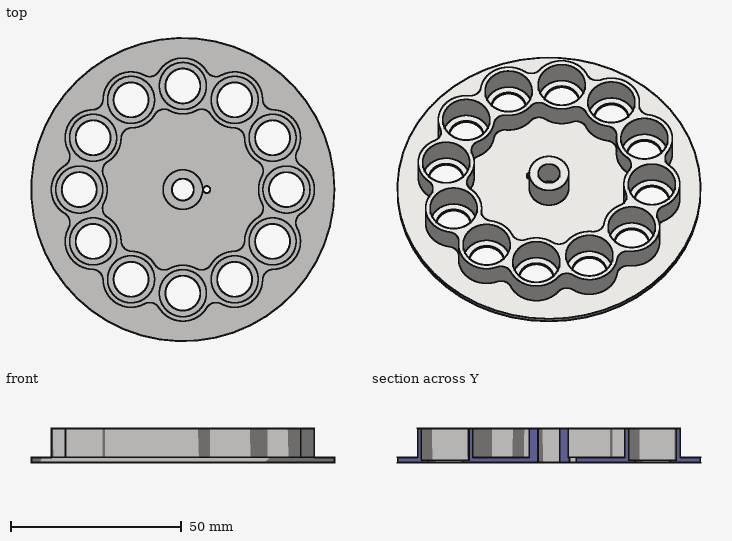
import cadquery as cq

disc_diameter = 88.9
disc_thickness = 1.55
total_height = 10.03

cup_count = 12
cup_circle_radius = 30.35
cup_bore_diameter = 13.8
cup_wall = 1.3
cup_outer_radius = cup_bore_diameter / 2 + cup_wall
cup_height = total_height - disc_thickness
cup_recess = disc_thickness / 2
valley_fillet_radius = 3.175
floor_hole_diameter = 10.16

hub_diameter = 11.6
hub_bore_diameter = 6.35
hub_height = cup_height

index_hole_diameter = 2.0
index_hole_offset = 7.0


def on_disc():
    """Workplane on the top face of the base disc."""
    return cq.Workplane("XY").workplane(offset=disc_thickness)


def at_cups(plane):
    """Centre points of all the cups, evenly spaced around the disc axis."""
    return plane.polarArray(cup_circle_radius, 0, 360, cup_count)


def make_disc():
    return cq.Workplane("XY").circle(disc_diameter / 2).extrude(disc_thickness)


def make_cup_ring():
    """Overlapping cylinders, rounded in the valleys where neighbours meet."""
    ring = at_cups(on_disc()).circle(cup_outer_radius).extrude(cup_height)
    return ring.edges("|Z").fillet(valley_fillet_radius)


def make_hub():
    return on_disc().circle(hub_diameter / 2).extrude(hub_height)


def cut_cups(body):
    """Bore each cup partway into the disc and pierce its floor with a smaller hole."""
    bore_plane = on_disc().workplane(offset=-cup_recess)
    bores = at_cups(bore_plane).circle(cup_bore_diameter / 2).extrude(cup_recess + cup_height)
    floor_holes = at_cups(cq.Workplane("XY")).circle(floor_hole_diameter / 2).extrude(disc_thickness)
    return body.cut(bores).cut(floor_holes)


def cut_hub_bore(body):
    bore = cq.Workplane("XY").circle(hub_bore_diameter / 2).extrude(total_height)
    return body.cut(bore)


def cut_index_hole(body):
    hole = (
        cq.Workplane("XY")
        .center(index_hole_offset, 0)
        .circle(index_hole_diameter / 2)
        .extrude(disc_thickness)
    )
    return body.cut(hole)


body = make_disc().union(make_cup_ring()).union(make_hub())
body = cut_cups(body)
body = cut_hub_bore(body)
result = cut_index_hole(body)